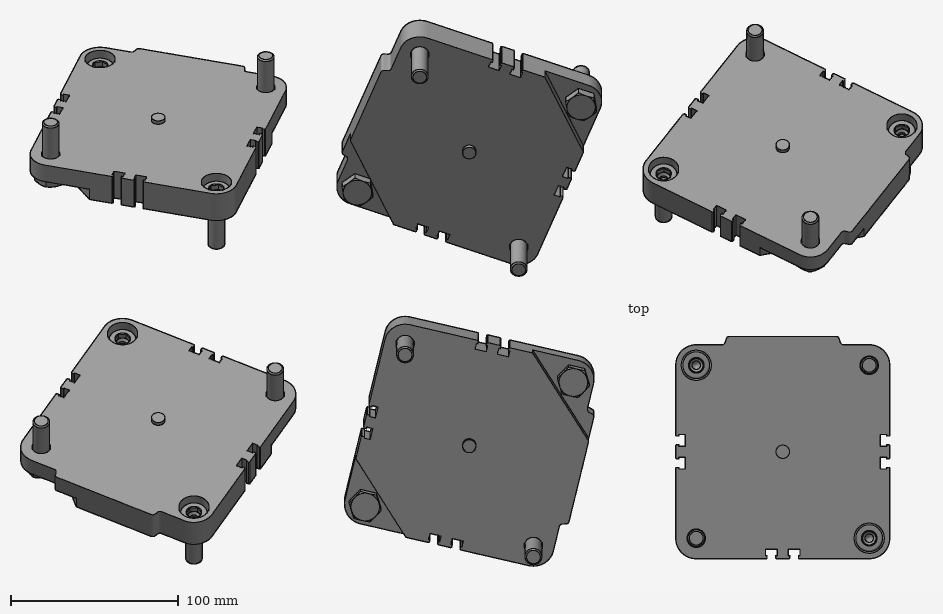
import cadquery as cq
import math

plate_side = 127.6
plate_height = 19.5
half_side = plate_side / 2
screw_spacing = 103.0
screw_offset = screw_spacing / 2
corner_radius = half_side - screw_offset

tab_length = 4.9
tab_tip_half_width = 33.3
tab_root_half_width = 34.7
tab_fillet = 2.0

slot_offset = 6.8
slot_depth = 5.6
slot_lip_depth = 2.0
slot_width = 6.8
slot_mouth_width = 5.0
slot_mouth_chamfer = 0.5
slot_side_angles = (0, -90, 90)

pin_diameter = 8.0
pin_projection = 2.5

shank_diameter = 10.0
shank_length = 35.0
shank_tip_chamfer = 0.9
clearance_diameter = 11.0

bolt_projection = 23.0
bolt_seat_z = plate_height + bolt_projection - shank_length
bolt_head_height = 6.4
bolt_across_flats = 17.0
bolt_across_corners = bolt_across_flats / math.cos(math.pi / 6)
bolt_head_chamfer_angle = math.radians(30)
washer_face_diameter = 14.63
washer_face_height = 0.6
bolt_recess_wall = 11.0

socket_screw_projection = 26.5
socket_screw_seat_z = shank_length - socket_screw_projection
socket_head_diameter = 16.0
socket_head_height = 6.5
socket_head_fillet = 1.0
socket_across_flats = 8.0
socket_across_corners = socket_across_flats / math.cos(math.pi / 6)
socket_depth = 3.8
socket_mouth_diameter = 9.3
socket_mouth_slope = math.radians(45)
socket_floor_slope = math.radians(45)
pilot_diameter = 5.0
pilot_depth = 3.0
pilot_point_depth = 1.5
counterbore_diameter = 18.0

bolt_places = [(-screw_offset, -screw_offset), (screw_offset, screw_offset)]
socket_screw_places = [(-screw_offset, screw_offset), (screw_offset, -screw_offset)]


def hexagon(across_corners, height):
    """Hexagonal prism standing on Z = 0 with corners on the Y axis."""
    prism = cq.Workplane("XY").polygon(6, across_corners).extrude(height)
    return prism.rotate((0, 0, 0), (0, 0, 1), 90)


def plate_blank():
    square = (
        cq.Workplane("XY")
        .rect(plate_side, plate_side)
        .extrude(plate_height)
        .edges("|Z")
        .fillet(corner_radius)
    )
    tab = (
        cq.Workplane("XY")
        .polyline([
            (-tab_root_half_width, 0),
            (-tab_root_half_width, half_side),
            (-tab_tip_half_width, half_side + tab_length),
            (tab_tip_half_width, half_side + tab_length),
            (tab_root_half_width, half_side),
            (tab_root_half_width, 0),
        ])
        .close()
        .extrude(plate_height)
    )
    blank = square.union(tab)
    for x, y in (
        (tab_root_half_width, half_side),
        (tab_tip_half_width, half_side + tab_length),
    ):
        for side in (-1, 1):
            corner = cq.selectors.NearestToPointSelector((side * x, y, plate_height / 2))
            blank = blank.edges("|Z").edges(corner).fillet(tab_fillet)
    return blank


def t_slot():
    """T-slot cutter opening at the middle of the -Y side."""
    mouth = slot_mouth_width / 2
    entry = mouth + slot_mouth_chamfer
    y_face = -half_side
    return (
        cq.Workplane("XY")
        .polyline([
            (-entry, y_face),
            (-mouth, y_face + slot_mouth_chamfer),
            (-mouth, y_face + slot_lip_depth),
            (-slot_width / 2, y_face + slot_lip_depth),
            (-slot_width / 2, y_face + slot_depth),
            (slot_width / 2, y_face + slot_depth),
            (slot_width / 2, y_face + slot_lip_depth),
            (mouth, y_face + slot_lip_depth),
            (mouth, y_face + slot_mouth_chamfer),
            (entry, y_face),
        ])
        .close()
        .extrude(plate_height)
    )


def bolt_recess():
    """Corner pocket under a hex bolt; its flat wall faces away from the plate centre."""
    wall_distance = math.hypot(screw_offset, screw_offset) - bolt_recess_wall
    return (
        cq.Workplane("XY")
        .box(plate_side, 2 * plate_side, bolt_seat_z, centered=(False, True, False))
        .translate((wall_distance, 0, 0))
    )


def make_plate():
    plate = plate_blank()

    for angle in slot_side_angles:
        for offset in (-slot_offset, slot_offset):
            slot = t_slot().translate((offset, 0, 0))
            plate = plate.cut(slot.rotate((0, 0, 0), (0, 0, 1), angle))

    for x, y in bolt_places:
        direction = math.degrees(math.atan2(y, x))
        plate = plate.cut(bolt_recess().rotate((0, 0, 0), (0, 0, 1), direction))

    shank_holes = (
        cq.Workplane("XY")
        .pushPoints(bolt_places + socket_screw_places)
        .circle(clearance_diameter / 2)
        .extrude(plate_height)
    )
    counterbores = (
        cq.Workplane("XY", origin=(0, 0, socket_screw_seat_z))
        .pushPoints(socket_screw_places)
        .circle(counterbore_diameter / 2)
        .extrude(plate_height - socket_screw_seat_z)
    )
    pin = (
        cq.Workplane("XY", origin=(0, 0, -pin_projection))
        .circle(pin_diameter / 2)
        .extrude(plate_height + 2 * pin_projection)
    )
    return plate.cut(shank_holes).cut(counterbores).union(pin)


def make_shank():
    """Shank rising from Z = 0 to a chamfered tip."""
    return (
        cq.Workplane("XY")
        .circle(shank_diameter / 2)
        .extrude(shank_length)
        .faces(">Z")
        .chamfer(shank_tip_chamfer)
    )


def make_hex_bolt():
    """Hex bolt pointing up, with its seat at Z = 0."""
    hex_height = bolt_head_height - washer_face_height
    flat_radius = bolt_across_flats / 2
    tip_radius = bolt_across_corners / 2
    corner_drop = (tip_radius - flat_radius) * math.tan(bolt_head_chamfer_angle)
    chamfer_envelope = (
        cq.Workplane("XZ")
        .polyline([
            (0, 0),
            (flat_radius, 0),
            (tip_radius, corner_drop),
            (tip_radius, hex_height),
            (0, hex_height),
        ])
        .close()
        .revolve(360, (0, 0, 0), (0, 1, 0))
    )
    head = (
        hexagon(bolt_across_corners, hex_height)
        .intersect(chamfer_envelope)
        .translate((0, 0, -bolt_head_height))
    )
    washer_face = (
        cq.Workplane("XY", origin=(0, 0, -washer_face_height))
        .circle(washer_face_diameter / 2)
        .extrude(washer_face_height)
    )
    return make_shank().union(washer_face).union(head)


def make_socket_screw():
    """Socket screw pointing down, with its seat at Z = 0."""
    head = (
        cq.Workplane("XY")
        .circle(socket_head_diameter / 2)
        .extrude(socket_head_height)
        .faces(">Z")
        .fillet(socket_head_fillet)
    )
    socket_floor_z = socket_head_height - socket_depth
    pilot_radius = pilot_diameter / 2
    socket_flat_radius = socket_across_flats / 2
    floor_drop = (socket_flat_radius - pilot_radius) * math.tan(socket_floor_slope)
    pilot_bottom_z = socket_floor_z - pilot_depth
    socket = hexagon(socket_across_corners, socket_depth).translate((0, 0, socket_floor_z))
    pilot = (
        cq.Workplane("XZ")
        .polyline([
            (0, socket_floor_z),
            (socket_flat_radius, socket_floor_z),
            (pilot_radius, socket_floor_z - floor_drop),
            (pilot_radius, pilot_bottom_z),
            (0, pilot_bottom_z - pilot_point_depth),
        ])
        .close()
        .revolve(360, (0, 0, 0), (0, 1, 0))
    )
    mouth_radius = socket_mouth_diameter / 2
    mouth_cone_height = mouth_radius * math.tan(socket_mouth_slope)
    mouth_cone = (
        cq.Workplane("XZ")
        .polyline([
            (0, socket_head_height),
            (mouth_radius, socket_head_height),
            (0, socket_head_height - mouth_cone_height),
        ])
        .close()
        .revolve(360, (0, 0, 0), (0, 1, 0))
    )
    shank = make_shank().rotate((0, 0, 0), (1, 0, 0), 180)
    return shank.union(head).cut(socket).cut(pilot).cut(mouth_cone)


plate = make_plate()
hex_bolts = [make_hex_bolt().translate((x, y, bolt_seat_z)) for x, y in bolt_places]
socket_screws = [
    make_socket_screw().translate((x, y, socket_screw_seat_z)) for x, y in socket_screw_places
]

result = cq.Compound.makeCompound(
    [plate.val()] + [screw.val() for screw in hex_bolts + socket_screws]
)